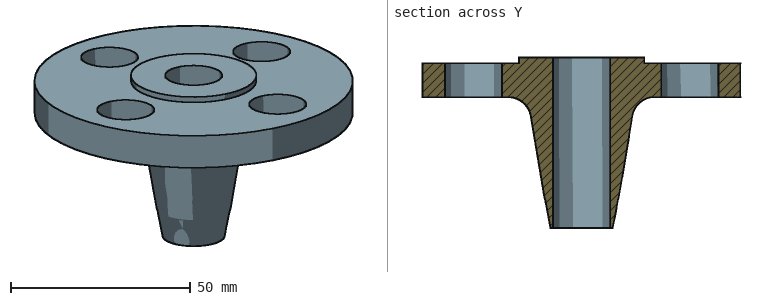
import cadquery as cq
import math

overall_height = 47.65
flange_diameter = 88.9
flange_thickness = 9.5
face_diameter = 35.0
face_height = 1.6
bore_diameter = 15.9
bolt_hole_diameter = 15.9
bolt_circle_diameter = 60.4
bolt_count = 4

cone_top_diameter = 28.45
cone_bottom_diameter = 20.8
bevel_top_diameter = 20.45
tip_diameter = 17.4
cone_length = 22.85
bevel_land_height = 0.45
bevel_length = 8.0

bevel_top_z = bevel_length
cone_bottom_z = bevel_top_z + bevel_land_height
cone_top_z = cone_bottom_z + cone_length
flange_top_z = overall_height - face_height
flange_bottom_z = flange_top_z - flange_thickness

cone_top_radius = cone_top_diameter / 2
cone_angle = math.atan2(cone_top_radius - cone_bottom_diameter / 2, cone_length)
fillet_radius = (flange_bottom_z - cone_top_z) / (1 - math.sin(cone_angle))
fillet_center_r = cone_top_radius + fillet_radius * math.cos(cone_angle)
fillet_center_z = flange_bottom_z - fillet_radius
fillet_mid_angle = (math.pi / 2 + math.pi - cone_angle) / 2
fillet_mid = (
    fillet_center_r + fillet_radius * math.cos(fillet_mid_angle),
    fillet_center_z + fillet_radius * math.sin(fillet_mid_angle),
)


def make_body():
    """Revolve the solid outer profile about the Z axis."""
    return (
        cq.Workplane("XZ")
        .moveTo(0, 0)
        .lineTo(tip_diameter / 2, 0)
        .lineTo(bevel_top_diameter / 2, bevel_top_z)
        .lineTo(cone_bottom_diameter / 2, cone_bottom_z)
        .lineTo(cone_top_radius, cone_top_z)
        .threePointArc(fillet_mid, (fillet_center_r, flange_bottom_z))
        .lineTo(flange_diameter / 2, flange_bottom_z)
        .lineTo(flange_diameter / 2, flange_top_z)
        .lineTo(face_diameter / 2, flange_top_z)
        .lineTo(face_diameter / 2, overall_height)
        .lineTo(0, overall_height)
        .close()
        .revolve(360, (0, 0, 0), (0, 1, 0))
    )


def make_bore():
    """Straight bore through the whole part."""
    return cq.Workplane("XY").circle(bore_diameter / 2).extrude(overall_height)


def make_bolt_holes():
    """Evenly spaced bolt holes through the flange."""
    return (
        cq.Workplane("XY")
        .workplane(offset=flange_bottom_z)
        .polarArray(bolt_circle_diameter / 2, 0, 360, bolt_count)
        .circle(bolt_hole_diameter / 2)
        .extrude(flange_thickness)
    )


result = make_body().cut(make_bore()).cut(make_bolt_holes())